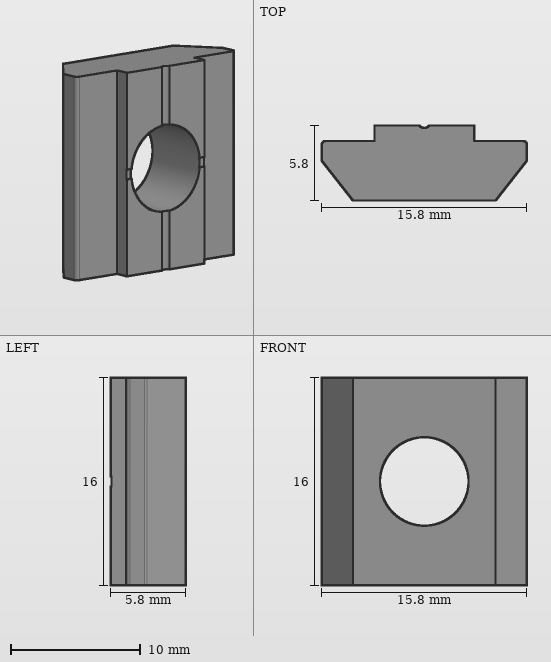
import cadquery as cq

width = 15.8
depth = 5.8
length = 16.0

nose_width = 11.0
flank_depth = 3.07
boss_width = 7.7
boss_height = 1.2
edge_radius = 0.3

hole_diameter = 6.8
groove_radius = 0.5
groove_depth = 0.2
cross_groove_width = 0.75
cross_groove_depth = 0.06

front_y = -depth / 2
rear_y = depth / 2
shoulder_y = rear_y - boss_height
half_width = width / 2


def make_body():
    """Trapezoidal slot nut with a rear rib, rounded along its outer edges."""
    body_outline = [
        (-nose_width / 2, front_y),
        (nose_width / 2, front_y),
        (half_width, front_y + flank_depth),
        (half_width, shoulder_y),
        (-half_width, shoulder_y),
        (-half_width, front_y + flank_depth),
    ]
    body = (
        cq.Workplane("XY")
        .polyline(body_outline)
        .close()
        .extrude(length / 2, both=True)
    )
    outer_edges = body.edges("|Z and (<X or >X)")
    body = outer_edges.fillet(edge_radius)
    rib = cq.Workplane("XY").box(boss_width, boss_height, length)
    return body.union(rib.translate((0, shoulder_y + boss_height / 2, 0)))


def make_hole():
    """Cylinder along Y through the middle of the nut."""
    return cq.Workplane("XZ", origin=(0, rear_y, 0)).circle(hole_diameter / 2).extrude(depth)


def make_long_groove():
    """Round-bottomed groove along Z in the rear face."""
    axis_y = rear_y - groove_depth + groove_radius
    profile = cq.Workplane("XY").center(0, axis_y).circle(groove_radius)
    return profile.extrude(length / 2, both=True)


def make_cross_groove():
    """Shallow flat-bottomed groove along X in the rear face."""
    groove = cq.Workplane("XY").box(boss_width, cross_groove_depth, cross_groove_width)
    return groove.translate((0, rear_y - cross_groove_depth / 2, 0))


result = make_body().cut(make_hole()).cut(make_long_groove()).cut(make_cross_groove())